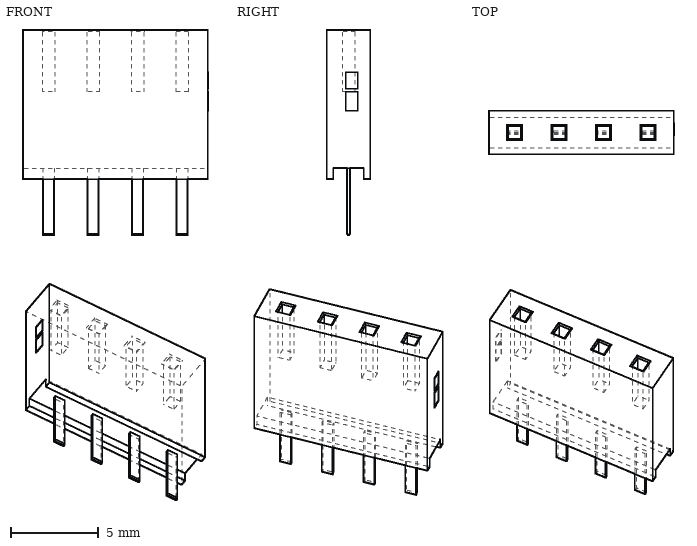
import cadquery as cq

contact_count = 4
pitch = 2.54
housing_length = 10.54
housing_width = 2.5
housing_height = 8.51

channel_width = 1.73
channel_depth = 0.63

socket_mouth = 0.88
socket_width = 0.7
lead_in_depth = (socket_mouth - socket_width) / 2
socket_depth = 3.51

overall_height = 11.7
pin_width = 0.64
pin_thickness = 0.2
tip_height = 0.09
tip_flat = 0.06

pad_thickness = 0.02
pad_width = 0.67
pad_center_y = 0.19
lower_pad_bottom = 3.9
lower_pad_height = 1.09
pad_gap = 0.18
upper_pad_height = 0.92

upper_pad_bottom = lower_pad_bottom + lower_pad_height + pad_gap
pin_bottom = housing_height - overall_height
first_contact_x = -(contact_count - 1) * pitch / 2


def make_housing():
    """Block standing on Z = 0 with the channel cut into its underside."""
    block = cq.Workplane("XY").box(
        housing_length, housing_width, housing_height, centered=(True, True, False)
    )
    channel = cq.Workplane("XY").box(
        housing_length, channel_width, channel_depth, centered=(True, True, False)
    )
    return block.cut(channel)


def make_socket():
    """Blind square hole, widened by a taper at the top face."""
    hole = (
        cq.Workplane("XY", origin=(0, 0, housing_height - socket_depth))
        .rect(socket_width, socket_width)
        .extrude(socket_depth)
    )
    lead_in = (
        cq.Workplane("XY", origin=(0, 0, housing_height - lead_in_depth))
        .rect(socket_width, socket_width)
        .workplane(offset=lead_in_depth)
        .rect(socket_mouth, socket_mouth)
        .loft(ruled=True)
    )
    return hole.union(lead_in)


def make_pin():
    """Flat pin hanging from the channel roof, its tip narrowed in Y."""
    half_thickness = pin_thickness / 2
    tip_start = pin_bottom + tip_height
    outline = [
        (-half_thickness, channel_depth),
        (-half_thickness, tip_start),
        (-tip_flat / 2, pin_bottom),
        (tip_flat / 2, pin_bottom),
        (half_thickness, tip_start),
        (half_thickness, channel_depth),
    ]
    return cq.Workplane("YZ").polyline(outline).close().extrude(pin_width / 2, both=True)


def make_end_pad(bottom, height):
    """Rectangular pad standing proud of the +X end face."""
    return cq.Workplane("XY", origin=(housing_length / 2, pad_center_y, bottom)).box(
        pad_thickness, pad_width, height, centered=(False, True, False)
    )


result = make_housing()
result = result.union(make_end_pad(lower_pad_bottom, lower_pad_height))
result = result.union(make_end_pad(upper_pad_bottom, upper_pad_height))
socket = make_socket()
pin = make_pin()
for index in range(contact_count):
    contact_x = first_contact_x + index * pitch
    result = result.cut(socket.translate((contact_x, 0, 0)))
    result = result.union(pin.translate((contact_x, 0, 0)))